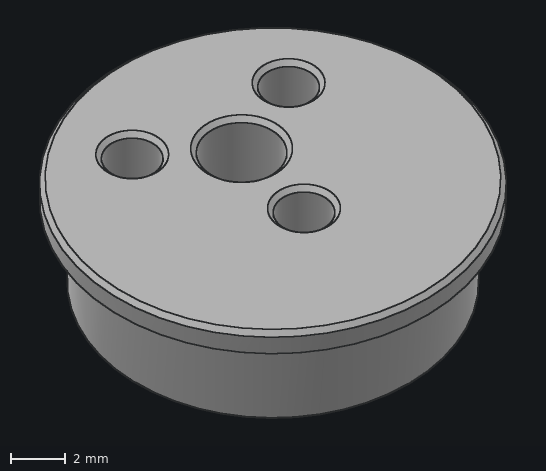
import cadquery as cq
import math

flange_diameter = 17.0
flange_thickness = 1.0
body_diameter = 15.0
total_height = 5.2
edge_chamfer = 0.2

group_center_x = -2.0
center_hole_diameter = 3.3
outer_hole_diameter = 2.25
outer_hole_count = 3
outer_hole_circle_radius = 4.0


def make_plug():
    """Stepped disc with chamfered top and bottom rims."""
    body_height = total_height - flange_thickness
    body = cq.Workplane("XY").circle(body_diameter / 2).extrude(body_height)
    body = body.faces("<Z").chamfer(edge_chamfer)
    flange = (
        cq.Workplane("XY")
        .workplane(offset=body_height)
        .circle(flange_diameter / 2)
        .extrude(flange_thickness)
        .faces(">Z")
        .chamfer(edge_chamfer)
    )
    return body.union(flange)


def hole_cutter(x, y, diameter):
    """Through hole with a chamfered mouth at the top."""
    radius = diameter / 2
    bore = cq.Workplane("XY").center(x, y).circle(radius).extrude(total_height)
    mouth = cq.Workplane(
        cq.Solid.makeCone(
            radius,
            radius + edge_chamfer,
            edge_chamfer,
            pnt=cq.Vector(x, y, total_height - edge_chamfer),
            dir=cq.Vector(0, 0, 1),
        )
    )
    return bore.union(mouth)


result = make_plug().cut(hole_cutter(group_center_x, 0, center_hole_diameter))

for index in range(outer_hole_count):
    angle = 2 * math.pi * index / outer_hole_count
    hole_x = group_center_x + outer_hole_circle_radius * math.cos(angle)
    hole_y = outer_hole_circle_radius * math.sin(angle)
    result = result.cut(hole_cutter(hole_x, hole_y, outer_hole_diameter))